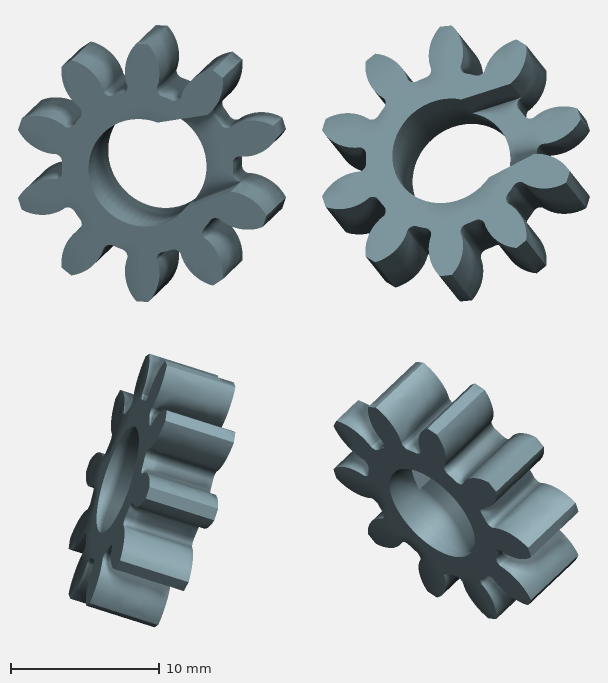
import cadquery as cq
import math

tooth_count = 10
tip_height = 9.0
width = 5.0
bore_diameter = 7.5
root_radius = 5.62

tip_half_thickness = 0.41
flank = [
    (tip_half_thickness, tip_height),
    (0.97, 8.14),
    (1.2, 7.04),
    (1.03, 5.98),
]
fillet_middle = (1.12, 5.65)
root_land_half_angle = 3.5

notch_depth = 2.72
notch_upper_edge = [(1.12, 3.6), (4.54, 4.37)]
notch_lower_edge = [(3.05, -2.21), (6.15, -0.88)]
notch_inner_x = 0.9
notch_outer_x = 10.8

pitch_angle = 360.0 / tooth_count


def rotate(point, degrees):
    """Turn an (x, z) point clockwise about the gear axis."""
    x, z = point
    c = math.cos(math.radians(degrees))
    s = math.sin(math.radians(degrees))
    return (x * c + z * s, z * c - x * s)


def mirror(point):
    return (-point[0], point[1])


def gear_blank():
    root_top = (0, root_radius)
    fillet_end = rotate(root_top, pitch_angle / 2 - root_land_half_angle)
    profile = cq.Workplane("XZ").moveTo(*mirror(flank[0]))
    for index in range(tooth_count):
        angle = index * pitch_angle

        def place(point):
            return rotate(point, angle)

        next_angle = angle + pitch_angle
        rising_flank = [rotate(mirror(p), next_angle) for p in reversed(flank)]
        profile = (
            profile.lineTo(*place(flank[0]))
            .spline([place(p) for p in flank[1:]], includeCurrent=True)
            .threePointArc(place(fillet_middle), place(fillet_end))
            .threePointArc(
                rotate(root_top, angle + pitch_angle / 2),
                rotate(mirror(fillet_end), next_angle),
            )
            .threePointArc(rotate(mirror(fillet_middle), next_angle), rising_flank[0])
            .spline(rising_flank[1:], includeCurrent=True)
        )
    return profile.close().extrude(-width)


def bore():
    return cq.Workplane("XZ").circle(bore_diameter / 2).extrude(-width)


def point_on_edge(edge, x):
    """Point at the given X on the line through the edge's two points."""
    (x0, z0), (x1, z1) = edge
    return (x, z0 + (x - x0) * (z1 - z0) / (x1 - x0))


def notch():
    corners = [
        point_on_edge(notch_upper_edge, notch_inner_x),
        point_on_edge(notch_upper_edge, notch_outer_x),
        point_on_edge(notch_lower_edge, notch_outer_x),
        point_on_edge(notch_lower_edge, notch_lower_edge[0][0]),
    ]
    return cq.Workplane("XZ").polyline(corners).close().extrude(-notch_depth)


result = gear_blank().cut(bore()).cut(notch())